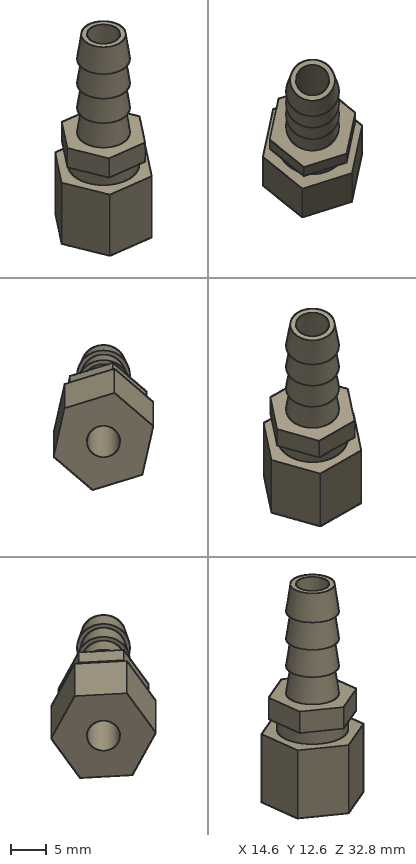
import cadquery as cq
import math

base_corners = 14.6
base_height = 10.5

neck_diameter = 10.0
neck_height = 2.2

collar_across_flats = 10.9
collar_corners = collar_across_flats / math.cos(math.pi / 6)
collar_height = 3.3

barb_count = 4
barb_height = 4.2
barb_root_diameter = 7.4
barb_tip_diameter = 6.2

bore_diameter = 4.6

neck_bottom = base_height
collar_bottom = neck_bottom + neck_height
tail_bottom = collar_bottom + collar_height
total_height = tail_bottom + barb_count * barb_height


def hexagon(corner_diameter, bottom, height):
    """Hexagonal prism with its corner diameter along X."""
    return cq.Workplane("XY").workplane(offset=bottom).polygon(6, corner_diameter).extrude(height)


def cylinder(diameter, bottom, height):
    return cq.Workplane("XY").workplane(offset=bottom).circle(diameter / 2).extrude(height)


def barbed_tail():
    """Solid of revolution whose saw-tooth side narrows towards each barb's top."""
    profile = cq.Workplane("XZ").moveTo(0, tail_bottom)
    for index in range(barb_count):
        barb_bottom = tail_bottom + index * barb_height
        profile = profile.lineTo(barb_root_diameter / 2, barb_bottom)
        profile = profile.lineTo(barb_tip_diameter / 2, barb_bottom + barb_height)
    profile = profile.lineTo(0, total_height).close()
    return profile.revolve(360, (0, 0, 0), (0, 1, 0))


body = hexagon(base_corners, 0, base_height)
body = body.union(cylinder(neck_diameter, neck_bottom, neck_height))
body = body.union(hexagon(collar_corners, collar_bottom, collar_height))
body = body.union(barbed_tail())

result = body.cut(cylinder(bore_diameter, 0, total_height))